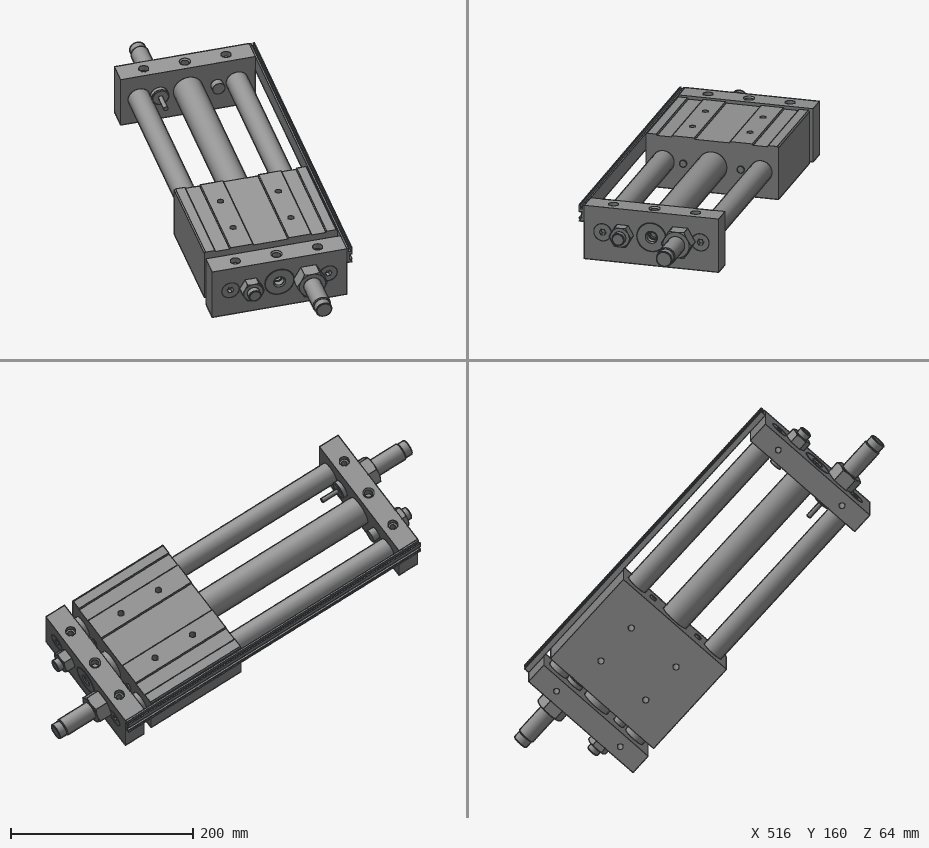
import cadquery as cq
import math


frame_length = 390.0
plate_thickness = 25.0
plate_width = 154.0
plate_top = 29.5
plate_bottom = -33.0
frame_end = frame_length / 2
plate_inner = frame_end - plate_thickness
plate_middle = frame_end - plate_thickness / 2

tube_diameter = 33.6
rod_diameter = 25.0
rod_offset = 56.0
tube_seam_depth = 0.5
rod_seat_diameter = 20.0
rod_seat_depth = 0.3
socket_across_flats = 6.5
socket_depth = 6.0

end_port_mouth = 14.0
end_port_diameter = 11.0
end_port_depth = 8.0
end_port_bore_diameter = 8.0
end_port_bore_depth = 12.0
top_port_mouth = 12.38
top_port_diameter = 9.0
top_port_depth = 12.0

mount_offset = 47.0
mount_hole_diameter = 6.5
mount_head_diameter = 11.0
mount_head_depth = 6.5

rail_setback = 0.2
rail_depth = 6.0
rail_height = 19.0
rail_web = 3.0
rail_head_height = 8.0
rail_foot_height = 4.0
slot_near = 2.0
slot_far = 4.5
slot_depth = 4.5
notch_depth = 1.5

carriage_length = 120.0
carriage_width = 152.0
carriage_top = 31.0
carriage_bottom = -31.0
carriage_middle = 100.0
carriage_edge_chamfer = 1.5
groove_depth = 1.5
groove_slope = 1.0
groove_outer = 64.0
groove_inner = 46.0
center_recess_half_width = 20.5
carriage_hole_diameter = 6.8
carriage_hole_spacing = 50.0
bumper_diameter = 8.0
bumper_height = 2.0

stop_offset = 33.0
bumper_face = carriage_middle + carriage_length / 2 + bumper_height

bolt_diameter = 14.0
bolt_end_diameter = 12.38
bolt_chamfer = (bolt_diameter - bolt_end_diameter) / 2
bolt_outer_end = 213.0
bolt_inner_end = bumper_face
bolt_nut_flats = 22.0
bolt_nut_thickness = 11.0

absorber_diameter = 20.0
absorber_tip_diameter = 17.8
absorber_chamfer = (absorber_diameter - absorber_tip_diameter) / 2
absorber_outer_end = 258.0
absorber_tip_length = 9.0
absorber_tip_chamfer = 0.8
absorber_inner_end = 164.0
absorber_nut_flats = 30.0
absorber_nut_thickness = 16.0
pin_diameter = 5.0
pin_extended_length = 21.0
pin_compressed_length = absorber_inner_end - bumper_face


def cylinder_x(start, end, diameter, y=0.0):
    """Cylinder along X between two x positions, at height z = 0."""
    axis = cq.Workplane("YZ", origin=(start, y, 0))
    return axis.circle(diameter / 2).extrude(end - start)


def turn_around(body):
    """Rotate half a turn about Z, which swaps the two ends of the machine."""
    return body.rotate((0, 0, 0), (0, 0, 1), 180)


def hexagon_x(start, end, flats, y):
    """Hexagonal prism along X with horizontal flats at the top and bottom."""
    profile = cq.Workplane("YZ", origin=(start, y, 0)).polygon(6, flats / math.cos(math.pi / 6))
    return profile.extrude(end - start)


def port_cutter(mouth_diameter, diameter, depth):
    """Air port with a 45 degree countersink, opening at the origin and running along +X."""
    countersink = (mouth_diameter - diameter) / 2
    profile = (
        cq.Workplane("XY")
        .lineTo(0, mouth_diameter / 2)
        .lineTo(countersink, diameter / 2)
        .lineTo(depth, diameter / 2)
        .lineTo(depth, 0)
        .close()
    )
    return profile.revolve(360, (0, 0, 0), (1, 0, 0))


def tube_seam_cutter():
    """Shallow V-shaped ring around the tube end on the outer face of the left plate."""
    tube_radius = tube_diameter / 2
    profile = (
        cq.Workplane("XY")
        .moveTo(-frame_end, tube_radius)
        .lineTo(-frame_end, tube_radius - tube_seam_depth)
        .lineTo(-frame_end + tube_seam_depth, tube_radius)
        .close()
    )
    return profile.revolve(360, (0, 0, 0), (1, 0, 0))


def left_plate():
    """End plate with its air ports, rod seats, mounting holes and holes for the stops."""
    plate = cq.Workplane("XY").box(
        plate_thickness, plate_width, plate_top - plate_bottom, centered=(False, True, False)
    )
    plate = plate.translate((-frame_end, 0, plate_bottom))

    for y in (-mount_offset, mount_offset):
        top_face = cq.Workplane("XY", origin=(-plate_middle, y, plate_top))
        plate = plate.cut(top_face.circle(mount_hole_diameter / 2).extrude(plate_bottom - plate_top))
        plate = plate.cut(top_face.circle(mount_head_diameter / 2).extrude(-mount_head_depth))

    for y in (-rod_offset, rod_offset):
        seat_floor = -frame_end + rod_seat_depth
        plate = plate.cut(cylinder_x(-frame_end, seat_floor, rod_seat_diameter, y))
        plate = plate.cut(hexagon_x(seat_floor, seat_floor + socket_depth, socket_across_flats, y))

    top_port = port_cutter(top_port_mouth, top_port_diameter, top_port_depth)
    top_port = top_port.rotate((0, 0, 0), (0, 1, 0), 90)
    plate = plate.cut(top_port.translate((-plate_middle, 0, plate_top)))

    end_port = port_cutter(end_port_mouth, end_port_diameter, end_port_depth)
    plate = plate.cut(end_port.translate((-frame_end, 0, 0)))
    plate = plate.cut(cylinder_x(-frame_end, -frame_end + end_port_bore_depth, end_port_bore_diameter))
    plate = plate.cut(tube_seam_cutter())

    plate = plate.cut(cylinder_x(-frame_end, -plate_inner, absorber_diameter, -stop_offset))
    return plate.cut(cylinder_x(-frame_end, -plate_inner, bolt_diameter, stop_offset))


def sensor_rail():
    """Slotted rail along the +Y edges of both end plates, set back slightly from their top and end faces."""
    length = frame_length - 2 * rail_setback
    top = plate_top - rail_setback
    near = plate_width / 2
    web = near + rail_web
    far = near + rail_depth
    bottom = top - rail_height
    head_bottom = top - rail_head_height
    foot_top = bottom + rail_foot_height
    foot_middle = (foot_top + bottom) / 2
    slot_floor = top - slot_depth
    outline = [
        (near, bottom),
        (far, bottom),
        (far - notch_depth, foot_middle),
        (far, foot_top),
        (web, foot_top),
        (web, head_bottom),
        (far, head_bottom),
        (far, top),
        (near + slot_far, top),
        (near + slot_far, slot_floor),
        (near + slot_near, slot_floor),
        (near + slot_near, top),
        (near, top),
    ]
    end_plane = cq.Workplane("YZ", origin=(-length / 2, 0, 0))
    return end_plane.polyline(outline).close().extrude(length)


def make_frame():
    """End plates, cylinder tube, guide rods and sensor rail as one body."""
    frame = left_plate().union(turn_around(left_plate()))
    frame = frame.union(cylinder_x(-plate_inner, plate_inner, tube_diameter))
    for y in (-rod_offset, rod_offset):
        frame = frame.union(cylinder_x(-plate_inner, plate_inner, rod_diameter, y))
    return frame.union(sensor_rail())


def make_carriage():
    """Sliding block with a grooved top, bored for the tube and the guide rods."""
    start = carriage_middle - carriage_length / 2
    end = carriage_middle + carriage_length / 2
    half_width = carriage_width / 2
    groove_floor = carriage_top - groove_depth
    half_outline = [
        (half_width, carriage_bottom),
        (half_width, carriage_top - carriage_edge_chamfer),
        (half_width - carriage_edge_chamfer, carriage_top),
        (groove_outer, carriage_top),
        (groove_outer - groove_slope, groove_floor),
        (groove_inner + groove_slope, groove_floor),
        (groove_inner, carriage_top),
        (center_recess_half_width, carriage_top),
        (center_recess_half_width - groove_slope, groove_floor),
    ]
    mirrored = [(-y, z) for y, z in reversed(half_outline)]
    carriage = cq.Workplane("YZ", origin=(start, 0, 0)).polyline(half_outline + mirrored).close()
    carriage = carriage.extrude(carriage_length)

    for y in (-stop_offset, stop_offset):
        carriage = carriage.union(cylinder_x(start - bumper_height, end + bumper_height, bumper_diameter, y))
        for x in (carriage_middle - carriage_hole_spacing / 2, carriage_middle + carriage_hole_spacing / 2):
            top_face = cq.Workplane("XY", origin=(x, y, carriage_top))
            hole = top_face.circle(carriage_hole_diameter / 2).extrude(carriage_bottom - carriage_top)
            carriage = carriage.cut(hole)

    carriage = carriage.cut(cylinder_x(start, end, tube_diameter))
    for y in (-rod_offset, rod_offset):
        carriage = carriage.cut(cylinder_x(start, end, rod_diameter, y))
    return carriage


def lock_nut(flats, thickness, y):
    """Hexagonal nut on the outer face of the left plate, its outer corners turned off at 30 degrees."""
    outer_face = -frame_end - thickness
    corner_radius = flats / 2 / math.cos(math.pi / 6)
    chamfer_length = (corner_radius - flats / 2) * math.tan(math.pi / 6)
    envelope = (
        cq.Workplane("XY")
        .moveTo(outer_face, 0)
        .lineTo(outer_face, flats / 2)
        .lineTo(outer_face + chamfer_length, corner_radius)
        .lineTo(-frame_end, corner_radius)
        .lineTo(-frame_end, 0)
        .close()
        .revolve(360, (0, 0, 0), (1, 0, 0))
        .translate((0, y, 0))
    )
    return hexagon_x(outer_face, -frame_end, flats, y).intersect(envelope)


def make_stop_bolt():
    """Threaded stop in the left plate with its lock nut."""
    bolt = cylinder_x(-bolt_outer_end, -bolt_inner_end, bolt_diameter, stop_offset)
    bolt = bolt.faces("<X").chamfer(bolt_chamfer)
    return bolt.union(lock_nut(bolt_nut_flats, bolt_nut_thickness, stop_offset))


def make_shock_absorber(pin_length):
    """Shock absorber in the left plate with its lock nut and plunger pin."""
    y = -stop_offset
    tip_start = -absorber_outer_end + absorber_tip_length
    absorber = cylinder_x(tip_start, -absorber_inner_end, absorber_diameter, y)
    absorber = absorber.faces("<X or >X").chamfer(absorber_chamfer)
    tip = cylinder_x(-absorber_outer_end, tip_start, absorber_tip_diameter, y)
    absorber = absorber.union(tip.faces("<X").chamfer(absorber_tip_chamfer))
    pin_end = -absorber_inner_end + pin_length
    absorber = absorber.union(cylinder_x(-absorber_inner_end, pin_end, pin_diameter, y))
    return absorber.union(lock_nut(absorber_nut_flats, absorber_nut_thickness, y))


frame = make_frame()
carriage = make_carriage()
left_bolt = make_stop_bolt()
right_bolt = turn_around(make_stop_bolt())
left_absorber = make_shock_absorber(pin_extended_length)
right_absorber = turn_around(make_shock_absorber(pin_compressed_length))

bodies = [frame, carriage, left_bolt, right_bolt, left_absorber, right_absorber]
result = cq.Compound.makeCompound([body.val() for body in bodies])